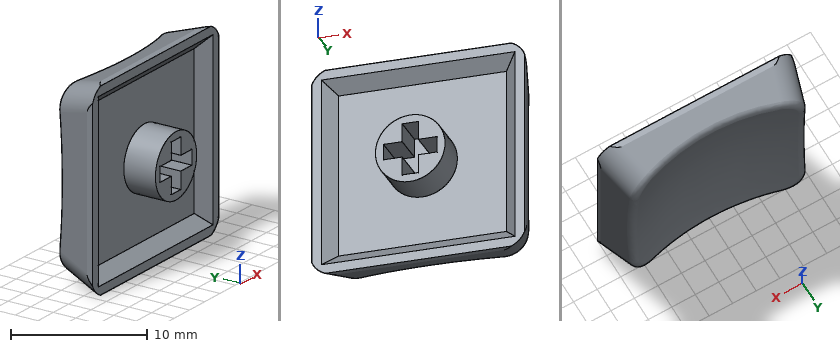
import cadquery as cq
import math

rim_width = 16.5
band_height = 0.5
wall_taper = 16.0
corner_radius = 2.0

blank_height = 5.0
dish_floor = 2.0
dish_radius_x = 17.5
dish_radius_z = 55.0
crown_fillet = 0.5

pocket_mouth = 15.0
pocket_floor = 13.0
pocket_depth = 1.0

stem_diameter = 5.4
stem_drop = 1.8
cross_length = 4.15
cross_width = 1.25


def plane_at(y):
    """Sketch plane normal to Y whose extrusions run towards +Y."""
    return cq.Workplane(cq.Plane(origin=(0, y, 0), xDir=(1, 0, 0), normal=(0, 1, 0)))


def frustum(lower_width, height, taper):
    """Square block on the plane Y = 0 whose sides lean inward by the taper angle."""
    return plane_at(0).rect(lower_width, lower_width).extrude(height, taper=taper)


def dish_cutter():
    """Dish volume: an arc across X, revolved about a distant axis parallel to X."""
    half_span = rim_width / 2
    arc_rise = dish_radius_x - math.sqrt(dish_radius_x**2 - half_span**2)
    edge_height = dish_floor + arc_rise
    clear_height = 2 * blank_height
    half_turn = math.degrees(math.asin(rim_width / dish_radius_z))
    axis_height = dish_floor + dish_radius_z
    section = (
        cq.Workplane("XY")
        .moveTo(-half_span, edge_height)
        .threePointArc((0, dish_floor), (half_span, edge_height))
        .lineTo(half_span, clear_height)
        .lineTo(-half_span, clear_height)
        .close()
    )
    swept = section.revolve(2 * half_turn, (0, axis_height, 0), (1, axis_height, 0))
    return swept.rotate((0, axis_height, 0), (1, axis_height, 0), -half_turn)


def outer_body():
    """Tapered, corner-rounded and dished body trimmed to a straight band at the rim."""
    slope = math.tan(math.radians(wall_taper))
    base_width = rim_width + 2 * band_height * slope
    body = frustum(base_width, blank_height, wall_taper)
    slanted_edges = body.edges("not(#Y)")
    body = slanted_edges.fillet(corner_radius)
    body = body.cut(dish_cutter())
    body = body.faces("%TORUS").edges().fillet(crown_fillet)
    return body.intersect(plane_at(0).rect(rim_width, rim_width).extrude(blank_height))


def stem():
    return plane_at(-stem_drop).circle(stem_diameter / 2).extrude(stem_drop + pocket_depth)


def cross_socket():
    """Cross-shaped socket running the full length of the stem."""
    depth = stem_drop + pocket_depth
    along_x = plane_at(-stem_drop).rect(cross_length, cross_width).extrude(depth)
    along_z = plane_at(-stem_drop).rect(cross_width, cross_length).extrude(depth)
    return along_x.union(along_z)


def underside_pocket():
    """Square recess narrowing from its mouth at the rim to its flat floor."""
    inset = (pocket_mouth - pocket_floor) / 2
    return frustum(pocket_mouth, pocket_depth, math.degrees(math.atan2(inset, pocket_depth)))


result = outer_body().cut(underside_pocket()).union(stem()).cut(cross_socket())